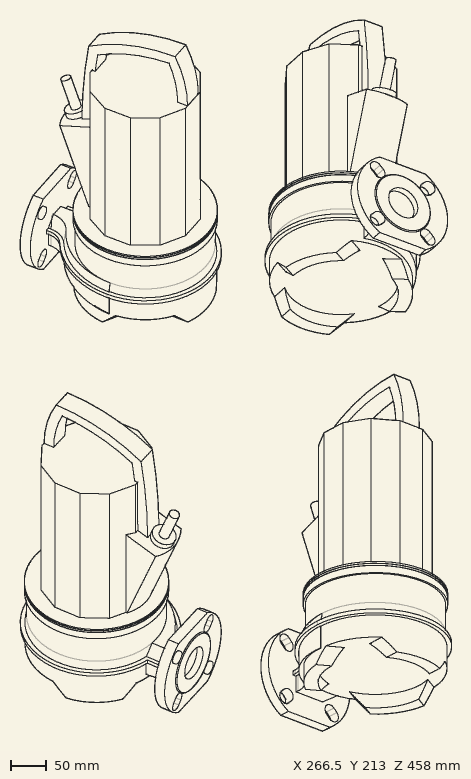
import cadquery as cq
import math


BODY_RADIUS = 100
UPPER_RADIUS = 196 / 2
COLLAR_RADIUS = 202 / 2
RIM_RADIUS = 106.5
RIM_BOTTOM = 55.5
RIM_THICKNESS = 6
RIM_TOP = RIM_BOTTOM + RIM_THICKNESS
RIM_OVERHANG = 5.5
SHOULDER_Z = 76
COLLAR_BOTTOM = 121
SEAL_BOTTOM = 132.4

VOLUTE_RIM_RADIUS = 132
HOLLOW_RIM_RADIUS = 30
NECK_RADIUS = 24.5
NECK_TOP_HALF_WIDTH = 10
NECK_AXIS_Z = 58
VOLUTE_BOTTOM_AT_NECK = 31
VOLUTE_BOTTOM_AT_AXIS = 21

FLOOR_Z = VOLUTE_BOTTOM_AT_AXIS
FOOT_INNER_RADIUS = 80
FOOT_WIDTH_BOTTOM = 79
FOOT_WIDTH_TOP = 116
FOOT_ANGLES = (0, 120, 240)

FLANGE_FACE_X = RIM_RADIUS - 266.49
FLANGE_AXIS_Z = 60.5
FLANGE_DIAMETER = 150
FLANGE_HEIGHT = 129
FLANGE_THICKNESS = 16.5
RAISED_FACE_HEIGHT = 1.5
RAISED_FACE_RADIUS = 46
BORE_DIAMETER = 48.3
BORE_DEPTH = 10
BOLT_SLOT_WIDTH = 19
BOLT_CIRCLE_SMALL = 110
BOLT_CIRCLE_LARGE = 125
FLANGE_BACK_X = FLANGE_FACE_X + RAISED_FACE_HEIGHT + FLANGE_THICKNESS

SEAL_RADIUS = 201 / 2
SEAL_TOP = 135.6
COVER_TOP = 138.4

MOTOR_SIDES = 12
MOTOR_ACROSS_FLATS = 154
MOTOR_TOP = 372.2
ENTRY_TILT = 20
ENTRY_FRONT_X = -127
ENTRY_FRONT_Z = 263.6
ENTRY_WIDTH = 68
ENTRY_FRONT_RISE = 9.4

GLAND_DIAMETER = 35
GLAND_HEIGHT = 9
GLAND_INSET = 20
CABLE_DIAMETER = 15
CABLE_LENGTH = 49

HANDLE_WIDTH = 30
HANDLE_BAR = 16
HANDLE_FOOT_Z = 275
HANDLE_FRONT_X = -93.3
HANDLE_FRONT_RADIUS = 900
HANDLE_PEAK_X = 57.2
HANDLE_TOP_Z = 454
HANDLE_TOP_RADIUS = 262
HANDLE_REAR_RADIUS = 177


def volute_outline(wall_inset, neck_half_width, z):
    """Closed plan outline of volute and neck, moved inward from the rim edge by wall_inset."""
    volute_radius = VOLUTE_RIM_RADIUS - wall_inset
    hollow_radius = HOLLOW_RIM_RADIUS + wall_inset
    volute_center_y = VOLUTE_RIM_RADIUS - RIM_RADIUS
    hollow_center_y = -neck_half_width - hollow_radius
    drop = volute_center_y - hollow_center_y
    spacing = volute_radius + hollow_radius
    hollow_center_x = -math.sqrt(spacing**2 - drop**2)
    swing = math.asin(-hollow_center_x / spacing)

    def on_volute(angle):
        return (-volute_radius * math.sin(angle), volute_center_y - volute_radius * math.cos(angle))

    def on_hollow(angle):
        return (
            hollow_center_x + hollow_radius * math.sin(angle),
            hollow_center_y + hollow_radius * math.cos(angle),
        )

    return (
        cq.Workplane("XY", origin=(0, 0, z))
        .moveTo(FLANGE_BACK_X, neck_half_width)
        .lineTo(FLANGE_BACK_X, -neck_half_width)
        .lineTo(hollow_center_x, -neck_half_width)
        .threePointArc(on_hollow(swing / 2), on_hollow(swing))
        .threePointArc(on_volute(swing / 2), on_volute(0))
        .lineTo(0, neck_half_width)
        .close()
    )


def disc(radius, bottom, top):
    return cq.Workplane("XY", origin=(0, 0, bottom)).circle(radius).extrude(top - bottom)


def round_casing():
    return (
        cq.Workplane("XZ")
        .polyline([
            (0, 0),
            (BODY_RADIUS, 0),
            (BODY_RADIUS, RIM_TOP),
            (UPPER_RADIUS, SHOULDER_Z),
            (UPPER_RADIUS, COLLAR_BOTTOM),
            (COLLAR_RADIUS, COLLAR_BOTTOM),
            (COLLAR_RADIUS, SEAL_BOTTOM),
            (0, SEAL_BOTTOM),
        ])
        .close()
        .revolve(360, (0, 0, 0), (0, 1, 0))
    )


def rim():
    neck_half_width = NECK_RADIUS + RIM_OVERHANG
    volute_rim = volute_outline(0, neck_half_width, RIM_BOTTOM).extrude(RIM_THICKNESS)
    return disc(RIM_RADIUS, RIM_BOTTOM, RIM_TOP).union(volute_rim)


def lower_volute():
    side = (
        cq.Workplane("XZ", origin=(0, RIM_RADIUS, 0))
        .polyline([
            (FLANGE_BACK_X, VOLUTE_BOTTOM_AT_NECK),
            (0, VOLUTE_BOTTOM_AT_AXIS),
            (0, RIM_TOP),
            (FLANGE_BACK_X, RIM_TOP),
        ])
        .close()
        .extrude(2 * RIM_RADIUS)
    )
    return volute_outline(RIM_OVERHANG, NECK_RADIUS, 0).extrude(RIM_TOP).intersect(side)


def upper_volute():
    base = volute_outline(RIM_OVERHANG, NECK_RADIUS, RIM_TOP).wire().val()
    top_inset = RIM_RADIUS - UPPER_RADIUS
    top = volute_outline(top_inset, NECK_TOP_HALF_WIDTH, SHOULDER_Z).wire().val()
    return cq.Workplane(cq.Solid.makeLoft([base, top], True))


def neck():
    return (
        cq.Workplane("YZ", origin=(FLANGE_BACK_X, 0, NECK_AXIS_Z))
        .circle(NECK_RADIUS)
        .extrude(-FLANGE_BACK_X)
    )


def foot_bar(angle):
    """Tapered bar from the axis outward, as wide as one foot."""
    return (
        cq.Workplane("YZ")
        .polyline([
            (-FOOT_WIDTH_BOTTOM / 2, 0),
            (FOOT_WIDTH_BOTTOM / 2, 0),
            (FOOT_WIDTH_TOP / 2, FLOOR_Z),
            (-FOOT_WIDTH_TOP / 2, FLOOR_Z),
        ])
        .close()
        .extrude(RIM_RADIUS)
        .rotate((0, 0, 0), (0, 0, 1), angle)
    )


def foot_gaps():
    gaps = disc(RIM_RADIUS, 0, FLOOR_Z)
    for angle in FOOT_ANGLES:
        gaps = gaps.cut(foot_bar(angle))
    return gaps


def make_pump_housing():
    housing = round_casing().cut(disc(FOOT_INNER_RADIUS, 0, FLOOR_Z)).cut(foot_gaps())
    for piece in (lower_volute(), upper_volute(), neck(), rim()):
        housing = housing.union(piece)
    return housing


def make_flange():
    flange_plane = cq.Workplane("YZ", origin=(FLANGE_BACK_X, 0, FLANGE_AXIS_Z))
    plate = flange_plane.circle(FLANGE_DIAMETER / 2).extrude(-FLANGE_THICKNESS)
    plate = plate.intersect(
        flange_plane.rect(FLANGE_DIAMETER, FLANGE_HEIGHT).extrude(-FLANGE_THICKNESS)
    )
    raised_face = (
        flange_plane.workplane(offset=-FLANGE_THICKNESS)
        .circle(RAISED_FACE_RADIUS)
        .extrude(-RAISED_FACE_HEIGHT)
        .faces("<X")
        .chamfer(RAISED_FACE_HEIGHT * 0.99)
    )
    bore = (
        cq.Workplane("YZ", origin=(FLANGE_FACE_X, 0, FLANGE_AXIS_Z))
        .circle(BORE_DIAMETER / 2)
        .extrude(BORE_DEPTH)
    )
    slot_travel = (BOLT_CIRCLE_LARGE - BOLT_CIRCLE_SMALL) / 2
    slots = (
        flange_plane.polarArray((BOLT_CIRCLE_LARGE + BOLT_CIRCLE_SMALL) / 4, 45, 360, 4)
        .slot2D(slot_travel + BOLT_SLOT_WIDTH, BOLT_SLOT_WIDTH)
        .extrude(-FLANGE_THICKNESS)
    )
    return plate.cut(slots).union(raised_face).cut(bore)


def tilted_plane():
    """Plane of the slanted top face, its X axis pointing up and back from the foremost point."""
    tilt = math.radians(ENTRY_TILT)
    return cq.Plane(
        origin=(ENTRY_FRONT_X, 0, ENTRY_FRONT_Z),
        xDir=(math.cos(tilt), 0, math.sin(tilt)),
        normal=(-math.sin(tilt), 0, math.cos(tilt)),
    )


def cable_entry():
    half_width = ENTRY_WIDTH / 2
    depth = -ENTRY_FRONT_X
    drop = 2 * ENTRY_FRONT_Z
    column = (
        cq.Workplane(tilted_plane())
        .moveTo(ENTRY_FRONT_RISE, -half_width)
        .threePointArc((0, 0), (ENTRY_FRONT_RISE, half_width))
        .lineTo(depth, half_width)
        .lineTo(depth, -half_width)
        .close()
        .extrude(-drop)
    )
    front_half = cq.Workplane("XY").box(
        depth, ENTRY_WIDTH, MOTOR_TOP - COVER_TOP, centered=(False, True, False)
    ).translate((-depth, 0, COVER_TOP))
    return column.intersect(front_half)


def make_motor():
    corner_diameter = MOTOR_ACROSS_FLATS / math.cos(math.pi / MOTOR_SIDES)
    stator = (
        cq.Workplane("XY", origin=(0, 0, COVER_TOP))
        .polygon(MOTOR_SIDES, corner_diameter)
        .extrude(MOTOR_TOP - COVER_TOP)
        .rotate((0, 0, 0), (0, 0, 1), 180 / MOTOR_SIDES)
    )
    return stator.union(cable_entry())


def make_gland():
    return (
        cq.Workplane(tilted_plane())
        .center(GLAND_INSET, 0)
        .circle(GLAND_DIAMETER / 2)
        .extrude(GLAND_HEIGHT)
    )


def make_cable():
    return (
        cq.Workplane(tilted_plane())
        .workplane(offset=GLAND_HEIGHT)
        .center(GLAND_INSET, 0)
        .circle(CABLE_DIAMETER / 2)
        .extrude(CABLE_LENGTH)
    )


def crossing(first, second):
    """Upper crossing point of two circles, each given as (center x, center z, radius)."""
    x1, z1, r1 = first
    x2, z2, r2 = second
    distance = math.hypot(x2 - x1, z2 - z1)
    along = (distance**2 + r1**2 - r2**2) / (2 * distance)
    side = math.sqrt(r1**2 - along**2)
    ux, uz = (x2 - x1) / distance, (z2 - z1) / distance
    points = [(x1 + along * ux - s * uz, z1 + along * uz + s * ux) for s in (side, -side)]
    return max(points, key=lambda point: point[1])


def middle_of_arc(circle, start, end):
    """Point on the circle halfway between two of its points."""
    x, z, radius = circle
    dx, dz = (start[0] + end[0]) / 2 - x, (start[1] + end[1]) / 2 - z
    stretch = radius / math.hypot(dx, dz)
    return (x + dx * stretch, z + dz * stretch)


def handle_edge(inset):
    """Circles and corner points, front to rear, of a handle edge moved inward by inset."""
    front = (HANDLE_FRONT_X + HANDLE_FRONT_RADIUS, HANDLE_FOOT_Z, HANDLE_FRONT_RADIUS - inset)
    top = (HANDLE_PEAK_X, HANDLE_TOP_Z - HANDLE_TOP_RADIUS, HANDLE_TOP_RADIUS - inset)
    rear_x = MOTOR_ACROSS_FLATS / 2
    rear = (rear_x - HANDLE_REAR_RADIUS, MOTOR_TOP, HANDLE_REAR_RADIUS - inset)
    corners = [
        (HANDLE_FRONT_X + inset, HANDLE_FOOT_Z),
        crossing(front, top),
        crossing(top, rear),
        (rear_x - inset, MOTOR_TOP),
    ]
    return [front, top, rear], corners


def make_handle(motor, gland):
    outer_circles, outer = handle_edge(0)
    inner_circles, inner = handle_edge(HANDLE_BAR)
    profile = cq.Workplane("XZ", origin=(0, HANDLE_WIDTH / 2, 0)).moveTo(*outer[0])
    for circle, start, end in zip(outer_circles, outer, outer[1:]):
        profile = profile.threePointArc(middle_of_arc(circle, start, end), end)
    profile = profile.lineTo(*inner[-1])
    for circle, start, end in zip(inner_circles[::-1], inner[::-1], inner[-2::-1]):
        profile = profile.threePointArc(middle_of_arc(circle, start, end), end)
    return profile.close().extrude(HANDLE_WIDTH).cut(motor).cut(gland)


pump_housing = make_pump_housing()
flange = make_flange()
seal_ring = disc(SEAL_RADIUS, SEAL_BOTTOM, SEAL_TOP)
cover_plate = disc(COLLAR_RADIUS, SEAL_TOP, COVER_TOP)
motor = make_motor()
gland = make_gland()
cable = make_cable()
handle = make_handle(motor, gland)

result = cq.Compound.makeCompound([
    pump_housing.val(),
    flange.val(),
    seal_ring.val(),
    cover_plate.val(),
    motor.val(),
    gland.val(),
    cable.val(),
    handle.val(),
])